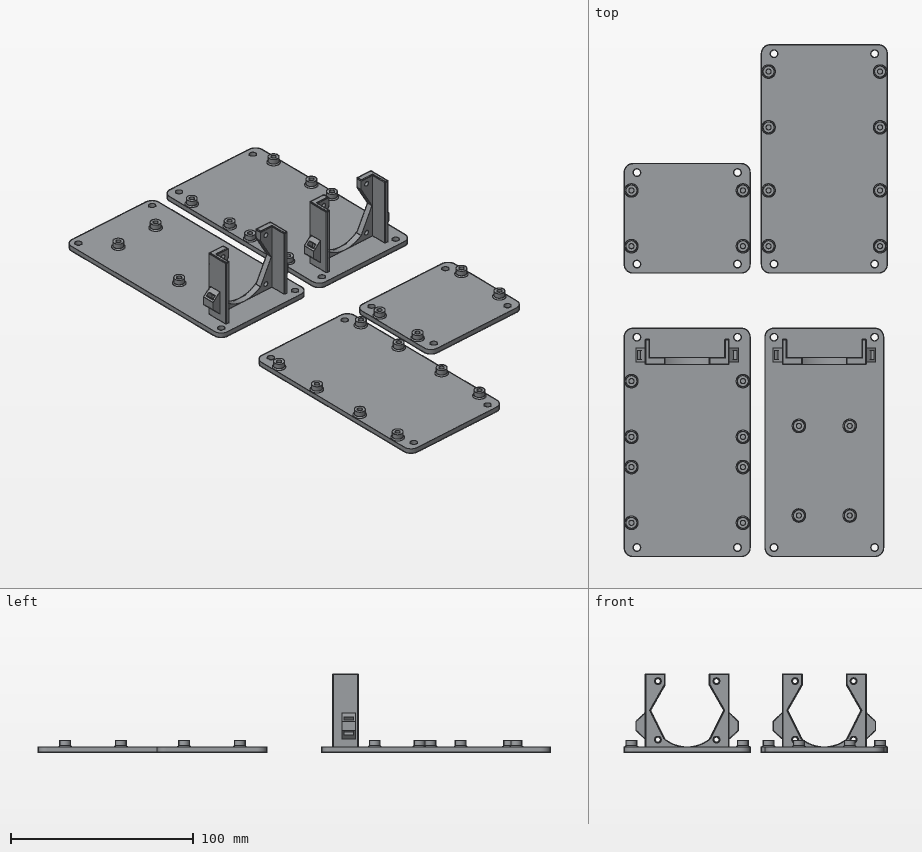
import cadquery as cq
import math

plate_thickness = 3.0
wide_plate_width = 69.0
narrow_plate_width = 65.0
long_plate_length = 125.0
short_plate_length = 60.0
column_gap = 6.0
row_gap = 30.0
corner_radius = 5.0
screw_hole_diameter = 4.0
screw_hole_pitch = 55.0
screw_hole_end_offset = 5.0

column_pitch = wide_plate_width + column_gap
left_column_x = wide_plate_width / 2
right_column_x = left_column_x + column_pitch
back_row_y = long_plate_length + row_gap

standoff_diameter = 6.0
standoff_height = 3.6
pilot_diameter = 2.8
foot_flare = 0.7
module_pitch = 30.48
side_standoff_pitch = 2 * module_pitch
module_end_margin = (short_plate_length - module_pitch) / 2
short_standoff_ys = [module_end_margin, module_end_margin + module_pitch]
long_standoff_ys = short_standoff_ys + [long_plate_length - y for y in short_standoff_ys]
fan_plate_first_y = 18.5
fan_plate_second_y = 65.5
fan_plate_standoff_ys = [
    start + step for start in (fan_plate_first_y, fan_plate_second_y) for step in (0, module_pitch)
]
board_pitch_x = 27.8
board_pitch_y = 49.0
board_first_y = 22.5
board_standoff_ys = [board_first_y, board_first_y + board_pitch_y]

bracket_width = 46.0
bracket_height = 40.0
bracket_depth = 14.0
bracket_back_offset = 6.0
frame_thickness = 4.0
fan_pocket_width = 41.0
fan_hole_pitch = 32.0
fan_hole_diameter = 2.8
fan_hole_sink_angle = 90.0
bracket_bevel = 0.45
fan_axis_z = plate_thickness + bracket_height / 2
opening_radius = 20.0
mouth_half_width = 12.0
mouth_rise = 14.0
bracket_embed = 1.0

lug_reach = 5.0
lug_height = 14.4
lug_tip_height = 5.0
lug_width = 7.6
lug_center_z = 14.5
lug_back_inset = 5.0
tie_width = 5.0
tie_ring_inner_radius = 3.4
tie_ring_outer_radius = 5.6
lug_overlap = 1.0


def base_plate(width, length, hole_pitch):
    """Rounded plate centred on X = 0 with its front edge at Y = 0."""
    plate = (
        cq.Workplane("XY")
        .box(width, length, plate_thickness, centered=(True, False, False))
        .edges("|Z")
        .fillet(corner_radius)
    )
    hole_points = [
        (side * hole_pitch / 2, y)
        for side in (-1, 1)
        for y in (screw_hole_end_offset, length - screw_hole_end_offset)
    ]
    return plate.cut(
        cq.Workplane("XY").pushPoints(hole_points).circle(screw_hole_diameter / 2).extrude(plate_thickness)
    )


def standoff():
    """One post standing on the plate at X = Y = 0."""
    radius = standoff_diameter / 2
    return (
        cq.Workplane("XZ")
        .moveTo(pilot_diameter / 2, plate_thickness)
        .lineTo(radius + foot_flare, plate_thickness)
        .lineTo(radius, plate_thickness + foot_flare)
        .lineTo(radius, plate_thickness + standoff_height)
        .lineTo(pilot_diameter / 2, plate_thickness + standoff_height)
        .close()
        .revolve(360, (0, 0, 0), (0, 1, 0))
    )


def add_standoffs(plate, pitch_x, ys):
    for side in (-1, 1):
        for y in ys:
            plate = plate.union(standoff().translate((side * pitch_x / 2, y, 0)))
    return plate


def fan_opening():
    """Front profile cut: a mouth, two straight flanks each side, and a round bottom."""
    mouth_z = fan_axis_z + mouth_rise
    flank_end_z = fan_axis_z - math.sqrt(opening_radius**2 - mouth_half_width**2)
    top_z = plate_thickness + bracket_height
    return (
        cq.Workplane("XZ")
        .moveTo(-mouth_half_width, top_z)
        .lineTo(-mouth_half_width, mouth_z)
        .lineTo(-opening_radius, fan_axis_z)
        .lineTo(-mouth_half_width, flank_end_z)
        .threePointArc((0, fan_axis_z - opening_radius), (mouth_half_width, flank_end_z))
        .lineTo(opening_radius, fan_axis_z)
        .lineTo(mouth_half_width, mouth_z)
        .lineTo(mouth_half_width, top_z)
        .close()
        .extrude(-bracket_depth)
    )


def tie_lug(side):
    """Trapezoidal lug on one outer wall with a curved cable-tie slot."""
    wall_x = side * bracket_width / 2
    tip_x = wall_x + side * lug_reach
    root_x = wall_x - side * lug_overlap
    front_y = bracket_depth - lug_back_inset - lug_width
    lug = (
        cq.Workplane("XZ", origin=(0, front_y, lug_center_z))
        .moveTo(root_x, -lug_height / 2)
        .lineTo(wall_x, -lug_height / 2)
        .lineTo(tip_x, -lug_tip_height / 2)
        .lineTo(tip_x, lug_tip_height / 2)
        .lineTo(wall_x, lug_height / 2)
        .lineTo(root_x, lug_height / 2)
        .close()
        .extrude(-lug_width)
    )
    slot = (
        cq.Workplane("XZ", origin=(tip_x, front_y + (lug_width - tie_width) / 2, lug_center_z))
        .circle(tie_ring_outer_radius)
        .circle(tie_ring_inner_radius)
        .extrude(-tie_width)
    )
    return lug.cut(slot)


def fan_bracket():
    """Bracket centred on X = 0 with its front face at Y = 0."""
    bracket = (
        cq.Workplane("XY", origin=(0, 0, plate_thickness - bracket_embed))
        .box(bracket_width, bracket_depth, bracket_height + bracket_embed, centered=(True, False, False))
    )
    pocket = (
        cq.Workplane("XY", origin=(0, frame_thickness, plate_thickness - bracket_embed))
        .box(fan_pocket_width, bracket_depth, bracket_height + bracket_embed, centered=(True, False, False))
    )
    bracket = bracket.cut(pocket).cut(fan_opening())
    bracket = bracket.edges("%LINE and (<Y or >Z or (>Y and |Z)) and (not <Z)").chamfer(bracket_bevel)
    bracket = (
        bracket.faces("<Y")
        .workplane(origin=(0, 0, fan_axis_z))
        .rect(fan_hole_pitch, fan_hole_pitch, forConstruction=True)
        .vertices()
        .cskHole(fan_hole_diameter, fan_hole_diameter + 2 * bracket_bevel, fan_hole_sink_angle)
    )
    for side in (-1, 1):
        bracket = bracket.union(tie_lug(side))
    return bracket


def add_fan_bracket(plate):
    bracket_y = long_plate_length - bracket_back_offset - bracket_depth
    return plate.union(fan_bracket().translate((0, bracket_y, 0)))


def short_plate():
    plate = base_plate(wide_plate_width, short_plate_length, screw_hole_pitch)
    return add_standoffs(plate, side_standoff_pitch, short_standoff_ys)


def long_plate():
    plate = base_plate(wide_plate_width, long_plate_length, screw_hole_pitch)
    return add_standoffs(plate, side_standoff_pitch, long_standoff_ys)


def wide_fan_plate():
    plate = base_plate(wide_plate_width, long_plate_length, screw_hole_pitch)
    plate = add_standoffs(plate, side_standoff_pitch, fan_plate_standoff_ys)
    return add_fan_bracket(plate)


def narrow_fan_plate():
    plate = base_plate(narrow_plate_width, long_plate_length, screw_hole_pitch)
    plate = add_standoffs(plate, board_pitch_x, board_standoff_ys)
    return add_fan_bracket(plate)


short_body = short_plate().translate((left_column_x, back_row_y, 0))
long_body = long_plate().translate((right_column_x, back_row_y, 0))
wide_fan_body = wide_fan_plate().translate((left_column_x, 0, 0))
narrow_fan_body = narrow_fan_plate().translate((right_column_x, 0, 0))

result = cq.Compound.makeCompound(
    [short_body.val(), long_body.val(), wide_fan_body.val(), narrow_fan_body.val()]
)